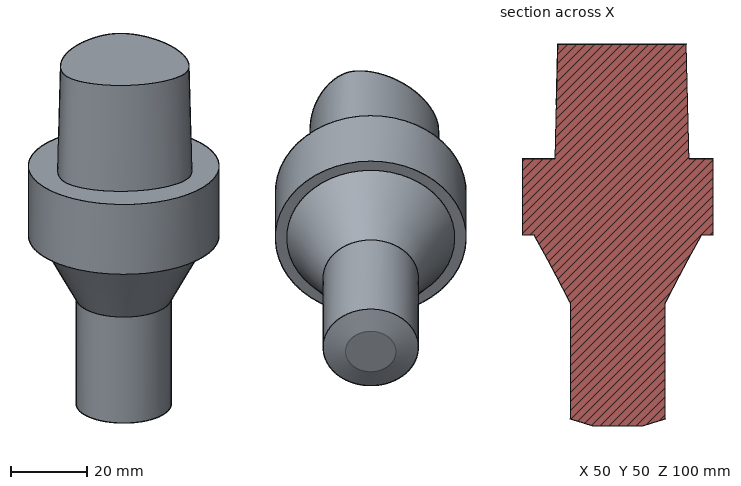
import cadquery as cq
import math

tip_height = 1.8
stem_top = 32.2
flange_bottom = 50.0
flange_top = 70.0
total_height = 100.0

tip_radius = 6.6
stem_radius = 25.0 / 2
cone_radius = 22.0
flange_radius = 50.0 / 2

shank_base_width = 35.2
shank_taper = 1 / 20
lobe_offset = 1.1
outline_samples = 36


def lobed_outline(width):
    """Closed curve of constant width, with one lobe pointing along -Y."""

    def point(turn_fraction):
        angle = 2 * math.pi * turn_fraction
        reach = width / 2 + lobe_offset * math.sin(3 * angle)
        slope = 3 * lobe_offset * math.cos(3 * angle)
        return (
            reach * math.cos(angle) - slope * math.sin(angle),
            reach * math.sin(angle) + slope * math.cos(angle),
        )

    return [point(i / outline_samples) for i in range(outline_samples)]


def turned_body():
    """Stem with a coned tip, flared neck and flange, revolved about Z."""
    return (
        cq.Workplane("XZ")
        .moveTo(0, 0)
        .lineTo(tip_radius, 0)
        .lineTo(stem_radius, tip_height)
        .lineTo(stem_radius, stem_top)
        .lineTo(cone_radius, flange_bottom)
        .lineTo(flange_radius, flange_bottom)
        .lineTo(flange_radius, flange_top)
        .lineTo(0, flange_top)
        .close()
        .revolve(360, (0, 0, 0), (0, 1, 0))
    )


def lobed_shank():
    """Tapered shank standing on the flange."""
    height = total_height - flange_top
    top_width = shank_base_width - shank_taper * height
    return (
        cq.Workplane("XY")
        .workplane(offset=flange_top)
        .spline(lobed_outline(shank_base_width), periodic=True)
        .close()
        .workplane(offset=height)
        .spline(lobed_outline(top_width), periodic=True)
        .close()
        .loft(ruled=True)
    )


result = turned_body().union(lobed_shank())